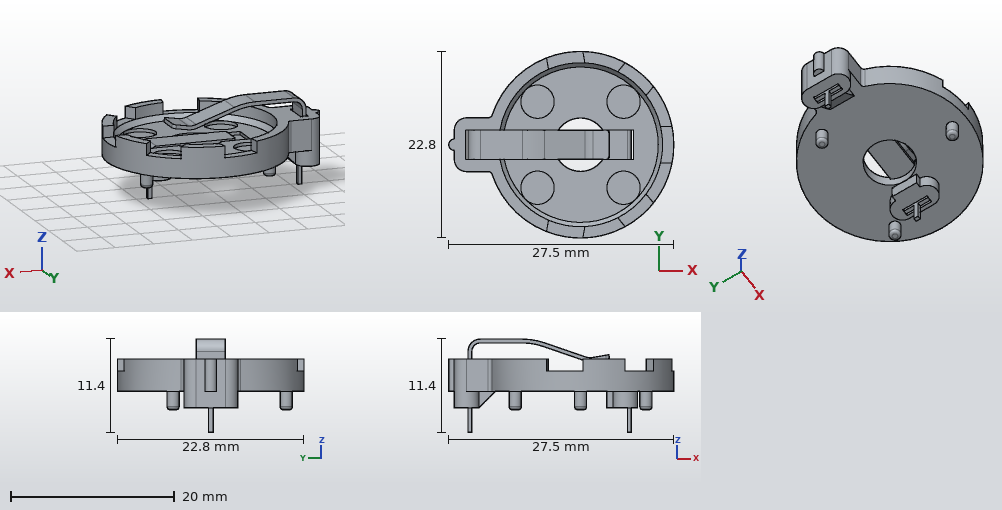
import cadquery as cq
import math


OVERALL_LENGTH = 27.5
DISC_DIAMETER = 22.8
DISC_RADIUS = DISC_DIAMETER / 2
RIM_TOP = 4.0
STEP_HEIGHT = 2.5
FLOOR_HEIGHT = 1.8
CAVITY_RADIUS = 10.0
FLOOR_RADIUS = 9.5
CENTER_HOLE_RADIUS = 3.25
RIM_SLOT_WIDTH = 4.5
RIM_SLOT_PITCH = 50.0
RIM_SLOT_COUNT = 5
DIMPLE_RADIUS = 2.04
DIMPLE_DEPTH = 0.4
DIMPLE_OFFSET = 5.25

BOSS_THICKNESS = 3.02
BOSS_RADIUS = BOSS_THICKNESS / 2
BOSS_WIDTH = 6.6
BOSS_DEPTH = 2.0
LUG_LEFT = -15.43
LUG_CENTER = LUG_LEFT + BOSS_RADIUS
NECK_FILLET = 0.5
NUB_RADIUS = 0.72
NUB_CENTER = DISC_RADIUS - OVERALL_LENGTH + NUB_RADIUS
INNER_BOSS_CENTER = 5.45
INNER_BOSS_LEFT = 3.2

PEG_DIAMETER = 1.5
PEG_LENGTH = 2.25
PEG_FILLET = 0.4
PEG_CIRCLE_RADIUS = 9.2
PEG_ANGLES = (30, 150, 270)

SHEET = 0.5
CONTACT_WIDTH = 3.58
CORNER_FILLET = 0.4
TERMINAL_WIDTH = 0.6
TERMINAL_BOTTOM = -5.0
SLOT_GAP = 0.25

SPRING_BLADE_X = -13.5
SPRING_TOP = 6.4
SPRING_BEND_RADIUS = 1.26
SPRING_FLAT_LENGTH = 5.15
SPRING_CREST_RADIUS = 7.95
SPRING_FALL_ANGLE = 19.0
SPRING_FALL_LENGTH = 5.25
SPRING_VALLEY_RADIUS = 2.25
SPRING_RISE_ANGLE = 10.0
SPRING_TIP_LENGTH = 1.95

STRIP_LEFT = -4.62
STRIP_RIGHT = 6.22
STRIP_TOP = 2.0
STRIP_BLADE_X = STRIP_RIGHT - SHEET / 2
TRAY_END = STRIP_RIGHT + SLOT_GAP
TRAY_DEPTH = 0.4


def box(x_min, x_max, width, z_min, z_max):
    """Box between two X and two Z limits, centred on Y = 0."""
    return (
        cq.Workplane("XY", origin=((x_min + x_max) / 2, 0, z_min))
        .box(x_max - x_min, width, z_max - z_min, centered=(True, True, False))
    )


def cylinder(x, y, radius, z_min, z_max):
    return cq.Workplane("XY", origin=(x, y, z_min)).circle(radius).extrude(z_max - z_min)


def boss(x):
    """Round-ended boss hanging below the disc."""
    return (
        cq.Workplane("XY", origin=(x, 0, -BOSS_DEPTH))
        .slot2D(BOSS_WIDTH, BOSS_THICKNESS, 90)
        .extrude(BOSS_DEPTH)
    )


def lug():
    """Extension of the disc that carries the spring, blended into the disc's outer wall."""
    half_width = BOSS_WIDTH / 2
    neck_y = half_width + NECK_FILLET
    neck_x = -math.sqrt((DISC_RADIUS + NECK_FILLET) ** 2 - neck_y ** 2)
    share = DISC_RADIUS / (DISC_RADIUS + NECK_FILLET)
    tangent_x = neck_x * share
    tangent_y = neck_y * share
    block = box(LUG_LEFT, neck_x, BOSS_WIDTH, 0, RIM_TOP).edges("|Z and <X").fillet(BOSS_RADIUS)
    neck = (
        cq.Workplane("XY")
        .moveTo(neck_x, -half_width)
        .lineTo(neck_x, half_width)
        .radiusArc((tangent_x, tangent_y), -NECK_FILLET)
        .lineTo(tangent_x, -tangent_y)
        .radiusArc((neck_x, -half_width), -NECK_FILLET)
        .close()
        .extrude(RIM_TOP)
    )
    nub = cylinder(NUB_CENTER, 0, NUB_RADIUS, 0, RIM_TOP)
    return block.union(neck).union(nub)


def gusset():
    """45 degree web between the lug boss and the disc underside."""
    start = LUG_CENTER + BOSS_RADIUS
    return (
        cq.Workplane("XZ")
        .moveTo(LUG_CENTER, 0)
        .lineTo(LUG_CENTER, -BOSS_DEPTH)
        .lineTo(start, -BOSS_DEPTH)
        .lineTo(start + BOSS_DEPTH, 0)
        .close()
        .extrude(CONTACT_WIDTH / 2, both=True)
    )


def cavity():
    """Cell space: a cone from the floor up to the step, then a straight wall."""
    return (
        cq.Workplane("XZ")
        .moveTo(0, FLOOR_HEIGHT)
        .lineTo(FLOOR_RADIUS, FLOOR_HEIGHT)
        .lineTo(CAVITY_RADIUS, STEP_HEIGHT)
        .lineTo(CAVITY_RADIUS, RIM_TOP)
        .lineTo(0, RIM_TOP)
        .close()
        .revolve(360, (0, 0, 0), (0, 1, 0))
    )


def rim_slot(angle):
    slot = box(FLOOR_RADIUS, DISC_RADIUS, RIM_SLOT_WIDTH, STEP_HEIGHT, RIM_TOP)
    return slot.rotate((0, 0, 0), (0, 0, 1), angle)


def peg(angle):
    x = PEG_CIRCLE_RADIUS * math.cos(math.radians(angle))
    y = PEG_CIRCLE_RADIUS * math.sin(math.radians(angle))
    return cylinder(x, y, PEG_DIAMETER / 2, -PEG_LENGTH, 0).faces("<Z").edges().fillet(PEG_FILLET)


def blade_slot(blade_x):
    """Through slot that holds a terminal blade."""
    reach = SHEET / 2 + SLOT_GAP
    return box(blade_x - reach, blade_x + reach, CONTACT_WIDTH, -BOSS_DEPTH, RIM_TOP)


def make_housing():
    body = cylinder(0, 0, DISC_RADIUS, 0, RIM_TOP)
    body = body.union(lug()).cut(cavity())
    body = body.union(boss(LUG_CENTER)).union(gusset())
    body = body.union(boss(INNER_BOSS_CENTER))
    body = body.union(box(INNER_BOSS_LEFT, INNER_BOSS_CENTER, CONTACT_WIDTH, -BOSS_DEPTH, 0))
    for angle in PEG_ANGLES:
        body = body.union(peg(angle))
    for index in range(RIM_SLOT_COUNT):
        body = body.cut(rim_slot((index - RIM_SLOT_COUNT // 2) * RIM_SLOT_PITCH))
    for x in (-DIMPLE_OFFSET, DIMPLE_OFFSET):
        for y in (-DIMPLE_OFFSET, DIMPLE_OFFSET):
            body = body.cut(cylinder(x, y, DIMPLE_RADIUS, FLOOR_HEIGHT - DIMPLE_DEPTH, FLOOR_HEIGHT))
    body = body.cut(cylinder(0, 0, CENTER_HOLE_RADIUS, 0, FLOOR_HEIGHT))
    body = body.cut(box(-TRAY_END, TRAY_END, CONTACT_WIDTH, FLOOR_HEIGHT - TRAY_DEPTH, FLOOR_HEIGHT))
    body = body.cut(blade_slot(SPRING_BLADE_X))
    return body.cut(blade_slot(STRIP_BLADE_X))


def terminal(blade_x):
    """Narrow solder tail below a boss."""
    return box(blade_x - SHEET / 2, blade_x + SHEET / 2, TERMINAL_WIDTH, TERMINAL_BOTTOM, -BOSS_DEPTH)


def bend(path, radius, start_angle, end_angle):
    """Continue a path with an arc that turns its heading from one angle to another."""
    chord = 2 * radius * math.sin(math.radians(abs(end_angle - start_angle) / 2))
    chord_angle = math.radians((start_angle + end_angle) / 2)
    step = (chord * math.cos(chord_angle), chord * math.sin(chord_angle))
    return path.tangentArcPoint(step, relative=True)


def make_spring_contact():
    """Blade rising through the lug, bent over the cell, falling to a valley with a raised tip."""
    first_bend_z = SPRING_TOP - SHEET / 2 - SPRING_BEND_RADIUS
    path = cq.Workplane("XZ").moveTo(SPRING_BLADE_X, -BOSS_DEPTH).lineTo(SPRING_BLADE_X, first_bend_z)
    path = bend(path, SPRING_BEND_RADIUS, 90, 0)
    path = path.polarLine(SPRING_FLAT_LENGTH, 0)
    path = bend(path, SPRING_CREST_RADIUS, 0, -SPRING_FALL_ANGLE)
    path = path.polarLine(SPRING_FALL_LENGTH, -SPRING_FALL_ANGLE)
    path = bend(path, SPRING_VALLEY_RADIUS, -SPRING_FALL_ANGLE, SPRING_RISE_ANGLE)
    path = path.polarLine(SPRING_TIP_LENGTH, SPRING_RISE_ANGLE)
    sheet = (
        cq.Workplane("XY", origin=(SPRING_BLADE_X, 0, -BOSS_DEPTH))
        .rect(SHEET, CONTACT_WIDTH)
        .sweep(path)
    )
    sheet = sheet.faces(">X").edges("not |Y").fillet(CORNER_FILLET)
    return sheet.union(terminal(SPRING_BLADE_X))


def make_strip_contact():
    """Flat strip in the cell floor, bent down at its +X end into a blade."""
    strip = box(STRIP_LEFT, STRIP_RIGHT, CONTACT_WIDTH, STRIP_TOP - SHEET, STRIP_TOP)
    strip = strip.edges("|Z and <X").fillet(CORNER_FILLET)
    blade = box(STRIP_RIGHT - SHEET, STRIP_RIGHT, CONTACT_WIDTH, -BOSS_DEPTH, STRIP_TOP)
    sheet = strip.union(blade).edges("|Y and >X and >Z").fillet(SHEET)
    return sheet.union(terminal(STRIP_BLADE_X))


housing = make_housing()
spring_contact = make_spring_contact()
strip_contact = make_strip_contact()

result = cq.Compound.makeCompound([
    housing.solids().val(),
    spring_contact.solids().val(),
    strip_contact.solids().val(),
])